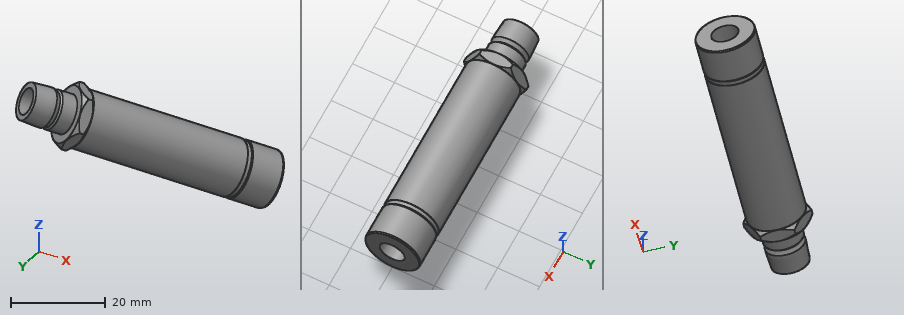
import cadquery as cq

total_length = 60.0
tip_taper_end = 4.1
neck_start = 5.0
neck_bend = 5.5
neck_bottom = 6.0
neck_end = 6.4
hex_start = 9.95
hex_end = 12.9
groove_start = 51.0
groove_floor_end = 51.95
groove_end = 52.25
end_chamfer_length = 0.35

bore_radius = 3.0
tip_radius = 4.25
spigot_radius = 4.5
neck_bend_radius = 4.25
neck_bottom_radius = 4.1
body_radius = 13.15 / 2
groove_radius = 6.4
end_radius = 6.4

hex_across_corners = 15.0
hex_corner_radius = hex_across_corners / 2
hex_face_radius = 6.4
hex_front_chamfer = hex_corner_radius - hex_face_radius
hex_back_chamfer = 0.9


def revolve_outline(points):
    """Revolve an (x, radius) outline about the X axis."""
    profile = cq.Workplane("XY").polyline(points).close()
    return profile.revolve(360, (0, 0, 0), (1, 0, 0))


def make_turned_body():
    """Tapered spigot with a narrow neck, then the grooved cylindrical body."""
    return revolve_outline([
        (0, 0),
        (0, tip_radius),
        (tip_taper_end, spigot_radius),
        (neck_start, spigot_radius),
        (neck_bend, neck_bend_radius),
        (neck_bottom, neck_bottom_radius),
        (neck_end, spigot_radius),
        (hex_end, spigot_radius),
        (hex_end, body_radius),
        (groove_start, body_radius),
        (groove_start, groove_radius),
        (groove_floor_end, groove_radius),
        (groove_end, body_radius),
        (total_length - end_chamfer_length, body_radius),
        (total_length, end_radius),
        (total_length, 0),
    ])


def make_hexagon():
    """Hexagon with flats facing up and down and its corners chamfered at both ends."""
    prism = (
        cq.Workplane("YZ", origin=(hex_start, 0, 0))
        .polygon(6, hex_across_corners)
        .extrude(hex_end - hex_start)
    )
    chamfer_envelope = revolve_outline([
        (hex_start, 0),
        (hex_start, hex_face_radius),
        (hex_start + hex_front_chamfer, hex_corner_radius),
        (hex_end - hex_back_chamfer, hex_corner_radius),
        (hex_end, hex_face_radius),
        (hex_end, 0),
    ])
    return prism.intersect(chamfer_envelope)


def make_bore():
    """Round bore through the full length."""
    return cq.Workplane("YZ").circle(bore_radius).extrude(total_length)


result = make_turned_body().union(make_hexagon()).cut(make_bore())